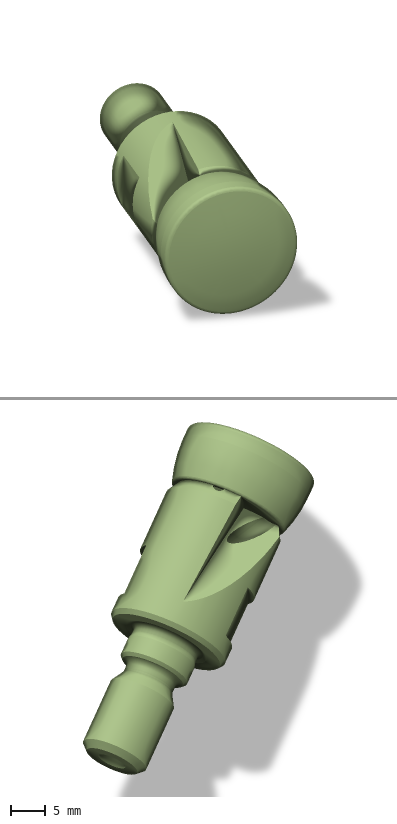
import cadquery as cq
import math


shank_radius = 10.0 / 2
tip_chamfer = 1.0
shank_end = 11.0
taper_end = 12.85
taper_angle = 30.0
taper_end_radius = shank_radius - (taper_end - shank_end) * math.tan(math.radians(taper_angle))
neck_radius = 7.7 / 2
neck_start = 13.15
neck_end = 14.0
neck_fillet = 0.8
collar_radius = 10.5 / 2
collar_chamfer = 0.45
collar_start = neck_end + neck_fillet
collar_end = 17.85

relief_radius = 10.1 / 2
relief_start = 18.65
relief_end = 19.25
relief_fillet = 0.6
relief_outer_radius = 6.35

center_hole_radius = 3.0 / 2
countersink_radius = 2.1
countersink_depth = 1.1
center_hole_depth = 4.15
drill_point_angle = 118.0

shoulder = 19.7
housing_radius = 18.0 / 2
shoulder_chamfer_length = 0.65
shoulder_chamfer_height = 0.5
nose_start = 40.3
nose_end = 42.0
nose_angle = 30.0
nose_radius = housing_radius - (nose_end - nose_start) * math.tan(math.radians(nose_angle))

flat_start = 22.85
flat_length = 8.0
across_flats = 16.0

notch_tip = (23.75, -0.9, 8.95)
wall_slope = 0.065
floor_slope_x = 0.5
floor_slope_y = 0.14
notch_reach = 31.05

coolant_radius = 3.0 / 2
coolant_exit = (39.65, -4.75, 1.5)
coolant_angle = 27.7
coolant_length = 20.7

nose_hole_radius = 0.9
nose_hole_x = 42.15
nose_hole_y = 1.45
nose_hole_bottom = 6.2

seat_sphere_radius = 36.25
head_radius = 20.0 / 2
head_end = 51.8
head_rim_radius = 8.8
head_rim_fillet = 0.4
head_bulge_x = 45.05
head_bulge_radius = 9.7
head_crown_start = 48.15
head_corner_fillet = 0.6
dome_sphere_radius = 41.4


def seat_x(radius):
    """X of the spherical seat, bulging toward +X, at a given distance from the tool axis."""
    sphere_center = nose_end - math.sqrt(seat_sphere_radius**2 - nose_radius**2)
    return sphere_center + math.sqrt(seat_sphere_radius**2 - radius**2)


def dome_x(radius):
    """X of the domed head face at a given distance from the tool axis."""
    sphere_center = head_end - dome_sphere_radius
    return sphere_center + math.sqrt(dome_sphere_radius**2 - radius**2)


def revolve_about_x(profile):
    return profile.close().revolve(360, (0, 0, 0), (1, 0, 0))


def make_turned_housing():
    """Shank, collar, undercut and housing barrel as one turned blank."""
    profile = (
        cq.Workplane("XY")
        .lineTo(0, shank_radius - tip_chamfer)
        .lineTo(tip_chamfer, shank_radius)
        .lineTo(shank_end, shank_radius)
        .lineTo(taper_end, taper_end_radius)
        .lineTo(neck_start, neck_radius)
        .lineTo(neck_end, neck_radius)
        .tangentArcPoint((collar_start, neck_radius + neck_fillet), relative=False)
        .lineTo(collar_start, collar_radius - collar_chamfer)
        .lineTo(collar_start + collar_chamfer, collar_radius)
        .lineTo(collar_end, collar_radius)
        .lineTo(relief_start, relief_radius)
        .lineTo(relief_end, relief_radius)
        .tangentArcPoint((relief_end + relief_fillet, relief_radius + relief_fillet), relative=False)
        .lineTo(shoulder, relief_outer_radius)
        .lineTo(shoulder, housing_radius - shoulder_chamfer_height)
        .lineTo(shoulder + shoulder_chamfer_length, housing_radius)
        .lineTo(nose_start, housing_radius)
        .lineTo(nose_end, nose_radius)
        .threePointArc((seat_x(nose_radius / 2), nose_radius / 2), (seat_x(0), 0))
    )
    return revolve_about_x(profile)


def make_center_hole():
    """Countersunk blind hole with a conical bottom."""
    point_length = center_hole_radius / math.tan(math.radians(drill_point_angle / 2))
    profile = (
        cq.Workplane("XY")
        .lineTo(0, countersink_radius)
        .lineTo(countersink_depth, center_hole_radius)
        .lineTo(center_hole_depth, center_hole_radius)
        .lineTo(center_hole_depth + point_length, 0)
    )
    return revolve_about_x(profile)


def make_flat_cutter(side):
    """Block that mills one wrench flat; side is +1 or -1 along Y."""
    depth = housing_radius
    return cq.Workplane("XY").box(flat_length, depth, 2 * housing_radius).translate(
        (flat_start + flat_length / 2, side * (across_flats + depth) / 2, 0)
    )


def make_notch_cutter():
    """Space in front of the wall and above the sloping floor."""
    tip_x, tip_y, tip_z = notch_tip
    wall_side = (
        cq.Workplane("XY", origin=(tip_x, tip_y, -notch_reach))
        .moveTo(-notch_reach, wall_slope * notch_reach)
        .lineTo(notch_reach, -wall_slope * notch_reach)
        .lineTo(notch_reach, -notch_reach)
        .lineTo(-notch_reach, -notch_reach)
        .close()
        .extrude(2 * notch_reach)
    )
    floor_plane = cq.Plane(
        origin=(tip_x, tip_y, tip_z),
        xDir=(1, 0, -floor_slope_x),
        normal=(floor_slope_x, floor_slope_y, 1),
    )
    above_floor = cq.Workplane(floor_plane).rect(2 * notch_reach, 2 * notch_reach).extrude(notch_reach)
    return wall_side.intersect(above_floor)


def make_coolant_hole():
    """Level hole from the XZ plane outward through the notch floor."""
    exit_x, exit_y, exit_z = coolant_exit
    angle = math.radians(coolant_angle)
    start = cq.Vector(exit_x + exit_y / math.tan(angle), 0, exit_z)
    direction = cq.Vector(math.cos(angle), -math.sin(angle), 0)
    return cq.Workplane(cq.Solid.makeCylinder(coolant_radius, coolant_length, start, direction))


def make_nose_hole():
    return (
        cq.Workplane("XY", origin=(nose_hole_x, nose_hole_y, nose_hole_bottom))
        .circle(nose_hole_radius)
        .extrude(housing_radius - nose_hole_bottom)
    )


def make_housing():
    housing = make_turned_housing().cut(make_center_hole())
    for side in (1, -1):
        housing = housing.cut(make_flat_cutter(side))
    return housing.cut(make_notch_cutter()).cut(make_coolant_hole()).cut(make_nose_hole())


def make_head():
    """Crowned round head with a concave spherical back and a domed face."""
    seat_mid_radius = head_rim_radius / 2
    rim_corner = (seat_x(head_rim_radius), head_rim_radius)
    dome_mid_radius = head_radius / 2
    profile = (
        cq.Workplane("XY")
        .moveTo(seat_x(0), 0)
        .threePointArc((seat_x(seat_mid_radius), seat_mid_radius), rim_corner)
        .threePointArc((head_bulge_x, head_bulge_radius), (head_crown_start, head_radius))
        .lineTo(dome_x(head_radius), head_radius)
        .threePointArc((dome_x(dome_mid_radius), dome_mid_radius), (head_end, 0))
    )
    head = revolve_about_x(profile)
    head = head.edges().filter(lambda edge: edge.IsClosed()).edges(">X").fillet(head_corner_fillet)
    return head.edges().filter(lambda edge: edge.IsClosed()).edges("<X").fillet(head_rim_fillet)


housing = make_housing()
head = make_head()

result = cq.Compound.makeCompound([housing.val(), head.val()])